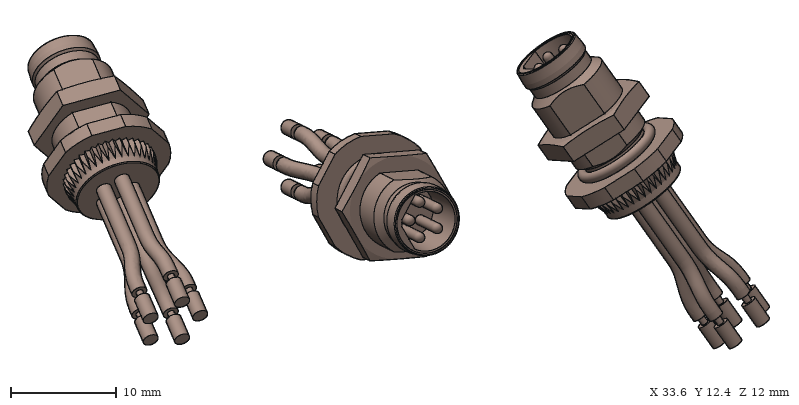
import cadquery as cq
import math


MOUTH_D = 6.5
LIP_D = 6.7
LIP_CHAMFER_LENGTH = 0.1
RIDGE_D = 6.9
RIDGE_START = 1.18
RIDGE_END = 1.7
GROOVE_START = 1.95
GROOVE_END = 3.0
BODY_D = 8.0
BODY_START = 3.65
BODY_END = 11.02
BODY_ACROSS_FLATS = 7.0
NECK_START = 11.5

LIP_BORE_D = 6.18
LIP_BORE_DEPTH = 0.07
SOCKET_D = 5.78
SOCKET_FLOOR = 5.38
SOCKET_TAPER = 1.2
KEY_FLAT = 2.55
KEY_SIDE = 2.4
KEY_SIDE_ANGLE = math.radians(30)

SEAL_D = 8.65
SEAL_START = 11.63
FLANGE_START = 12.67
FLANGE_END = 14.18
FLANGE_ACROSS_FLATS = 12.0
FLANGE_CORNER_D = 12.45
COLLAR_D = 8.4
COLLAR_START = 16.15
COLLAR_END = 16.95
COLLAR_CHAMFER = 0.1
KNURL_D = 9.2
KNURL_TAPER_START = 14.92
KNURL_TEETH = 40

PIN_D = 1.0
PIN_TIP = 0.5

WIRE_D = 1.5
CORE_D = 0.7
BEND_START = 24.1
BEND_END = 29.57
INSULATION_END = 30.27
FERRULE_START = 31.08
WIRE_END = 33.6

CONTACTS = [
    ((1.38, 0), (2.55, 0)),
    ((0.37, 1.7), (0.75, 2.9)),
    ((0.37, -1.7), (0.75, -2.9)),
    ((-1.45, 0.97), (-2.42, 1.68)),
    ((-1.45, -0.97), (-2.42, -1.68)),
]

NUT_START = 7.2
NUT_END = 9.15
NUT_ACROSS_FLATS = 10.0
NUT_CHAMFER_LENGTH = 0.17


def plane_at(x):
    """Workplane across the axis, with local x along Y and local y along Z."""
    return cq.Workplane("YZ", origin=(x, 0, 0))


def rod(start, end, diameter, center=(0, 0)):
    return plane_at(start).center(*center).circle(diameter / 2).extrude(end - start)


def hexagon(start, end, across_flats):
    """Hexagonal prism with two of its flats facing up and down."""
    corner_d = across_flats / math.cos(math.radians(30))
    return plane_at(start).polygon(6, corner_d).extrude(end - start)


def turned(points):
    """Solid turned about the X axis from (x, radius) points that start and end on the axis."""
    return cq.Workplane("XY").polyline(points).close().revolve(360, (0, 0, 0), (1, 0, 0))


def plug_end():
    return turned([
        (0, 0),
        (0, MOUTH_D / 2),
        (LIP_CHAMFER_LENGTH, LIP_D / 2),
        (RIDGE_START, RIDGE_D / 2),
        (RIDGE_END, RIDGE_D / 2),
        (GROOVE_START, MOUTH_D / 2),
        (GROOVE_END, MOUTH_D / 2),
        (GROOVE_END, 0),
    ])


def threaded_body():
    """Round body with conical ends and a flat above and below, and the neck behind it."""
    body = turned([
        (GROOVE_END, 0),
        (GROOVE_END, MOUTH_D / 2),
        (BODY_START, BODY_D / 2),
        (BODY_END, BODY_D / 2),
        (NECK_START, LIP_D / 2),
        (FLANGE_START, LIP_D / 2),
        (FLANGE_START, 0),
    ])
    length = FLANGE_START - GROOVE_END
    between_flats = plane_at(GROOVE_END).rect(BODY_D, BODY_ACROSS_FLATS).extrude(length)
    return body.intersect(between_flats)


def seal_ring():
    """Round-section ring in front of the flange."""
    section_d = FLANGE_START - SEAL_START
    center = ((SEAL_START + FLANGE_START) / 2, (SEAL_D - section_d) / 2)
    ring = cq.Workplane("XY").center(*center).circle(section_d / 2)
    return ring.revolve(360, (0, -center[1], 0), (1, -center[1], 0))


def flange():
    corners = rod(FLANGE_START, FLANGE_END, FLANGE_CORNER_D)
    return hexagon(FLANGE_START, FLANGE_END, FLANGE_ACROSS_FLATS).intersect(corners)


def knurl():
    """Ring of pointed teeth, cut back by a cone that runs down to the collar."""
    points = []
    for index in range(KNURL_TEETH):
        for step, radius in ((0, COLLAR_D / 2), (0.5, KNURL_D / 2)):
            angle = 2 * math.pi * (index + step) / KNURL_TEETH
            points.append((radius * math.cos(angle), radius * math.sin(angle)))
    teeth = plane_at(FLANGE_END).polyline(points).close().extrude(COLLAR_START - FLANGE_END)
    envelope = turned([
        (FLANGE_END, 0),
        (FLANGE_END, KNURL_D / 2),
        (KNURL_TAPER_START, KNURL_D / 2),
        (COLLAR_START, COLLAR_D / 2),
        (COLLAR_START, 0),
    ])
    return teeth.intersect(envelope)


def rear_collar():
    collar = rod(COLLAR_START, COLLAR_END, COLLAR_D)
    return collar.faces(">X").chamfer(COLLAR_CHAMFER)


def socket():
    """Cavity of the plug end: a round lip bore, then a tapered bore narrowed by the key."""
    radius = SOCKET_D / 2
    start_angle = KEY_SIDE_ANGLE + math.acos(KEY_SIDE / radius)
    start_y = radius * math.cos(start_angle)
    start_z = radius * math.sin(start_angle)
    key_z = (KEY_SIDE - KEY_FLAT * math.cos(KEY_SIDE_ANGLE)) / math.sin(KEY_SIDE_ANGLE)
    bore = (
        plane_at(LIP_BORE_DEPTH)
        .moveTo(start_y, start_z)
        .threePointArc((-radius, 0), (start_y, -start_z))
        .lineTo(KEY_FLAT, -key_z)
        .lineTo(KEY_FLAT, key_z)
        .close()
        .extrude(SOCKET_FLOOR - LIP_BORE_DEPTH, taper=SOCKET_TAPER)
    )
    return bore.union(rod(0, LIP_BORE_DEPTH, LIP_BORE_D))


def contact_pin(center):
    """Pin with a ball end, rooted in the socket floor."""
    ball_x = PIN_TIP + PIN_D / 2
    ball = cq.Workplane("XY").sphere(PIN_D / 2).translate((ball_x, *center))
    return rod(ball_x, SOCKET_FLOOR, PIN_D, center).union(ball)


def wire(start, end):
    """Insulated wire that bends outwards, then shows its core and carries a ferrule."""
    path = cq.Workplane("XY").spline(
        [(BEND_START, *start), (BEND_END, *end)],
        tangents=[(1, 0, 0), (1, 0, 0)],
    )
    bend = plane_at(BEND_START).center(*start).circle(WIRE_D / 2).sweep(path)
    straight = rod(COLLAR_END, BEND_START, WIRE_D, start)
    tail = rod(BEND_END, INSULATION_END, WIRE_D, end)
    core = rod(INSULATION_END, FERRULE_START, CORE_D, end)
    ferrule = rod(FERRULE_START, WIRE_END, WIRE_D, end)
    return straight.union(bend).union(tail).union(core).union(ferrule)


def make_connector():
    connector = plug_end().union(threaded_body()).union(seal_ring()).union(flange())
    connector = connector.union(knurl()).union(rear_collar()).cut(socket())
    for contact, wire_end in CONTACTS:
        connector = connector.union(contact_pin(contact)).union(wire(contact, wire_end))
    return connector


def make_nut():
    """Hexagon nut with a chamfered front, its hole matching the flatted body."""
    apothem = NUT_ACROSS_FLATS / 2
    corner_radius = apothem / math.cos(math.radians(30))
    envelope = turned([
        (NUT_START, 0),
        (NUT_START, apothem),
        (NUT_START + NUT_CHAMFER_LENGTH, corner_radius),
        (NUT_END, corner_radius),
        (NUT_END, 0),
    ])
    return hexagon(NUT_START, NUT_END, NUT_ACROSS_FLATS).intersect(envelope).cut(threaded_body())


connector = make_connector()
nut = make_nut()
result = cq.Compound.makeCompound([connector.val(), nut.val()])